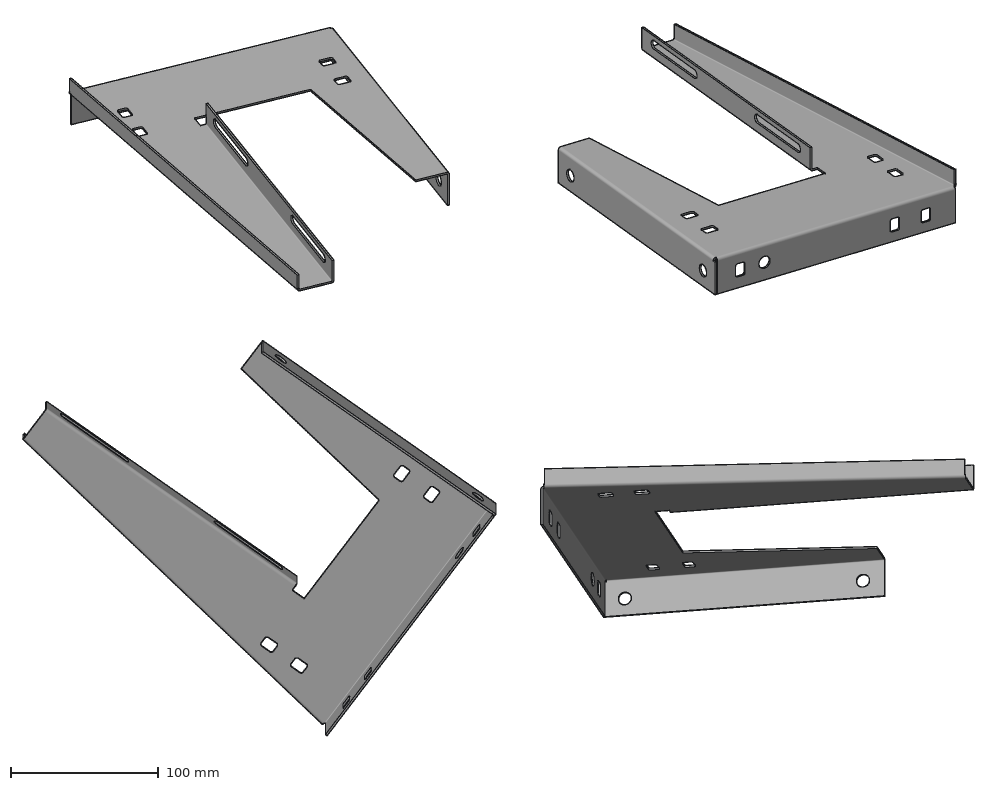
import cadquery as cq
import math

THICKNESS = 1.5
INNER_RADIUS = 0.7
BEND = INNER_RADIUS + THICKNESS
DEPTH = 196.0
LENGTH = 285.06
HEIGHT = 43.78

WEB_TOP = 27.2
WEB_BOTTOM = WEB_TOP - THICKNESS
FRONT_FLANGE_TOP = 39.0
FRONT_FLANGE_SETBACK = 0.5

SHORT_ARM_END = 195.0
SHORT_ARM_TIP = 25.0
SHORT_ARM_ROOT = 45.0
THROAT_X = 65.0
ARM_SLOPE = (SHORT_ARM_ROOT - SHORT_ARM_TIP) / (SHORT_ARM_END - THROAT_X)
ARM_ANGLE = math.atan(ARM_SLOPE)
WEB_LEFT = BEND
WEB_BACK = DEPTH - BEND
WEB_FRONT = BEND * math.cos(ARM_ANGLE)
LONG_ARM_END = LENGTH - BEND * math.sin(ARM_ANGLE)
LONG_ARM_TIP = WEB_FRONT + (LONG_ARM_END - WEB_LEFT) * ARM_SLOPE
THROAT_BACK = DEPTH - SHORT_ARM_ROOT
THROAT_FRONT = 65.0
INNER_FLANGE_START = 75.0
INNER_FLANGE_FACE = 70.7
INNER_BEND_LINE = INNER_FLANGE_FACE - BEND

HOLE_DIAMETER = 9.0
SLOT_WIDTH = 7.5
SLOT_LENGTH = 10.0
SLOT_CORNER = 1.5
WEB_SLOT_STARTS = (35.0, 60.0)
BACK_SLOT_Y = 175.2
FRONT_SLOT_Y = 24.75
BACK_HOLES_X = (15.0, 180.0)
BACK_HOLE_Z = 12.0
LEFT_SLOTS = ((175.5, 13.5), (51.0, 12.5), (26.0, 12.5))
LEFT_HOLE = (156.0, 13.5)
LONG_SLOT_CENTRES = (115.75, 244.5)
LONG_SLOT_LENGTH = 57.0
LONG_SLOT_WIDTH = 6.5
LONG_SLOT_Z = 37.0


def make_web():
    """Flat C-shaped plate, up to the bend lines."""
    outline = [
        (WEB_LEFT, WEB_FRONT),
        (LONG_ARM_END, LONG_ARM_TIP),
        (LONG_ARM_END, INNER_BEND_LINE),
        (INNER_FLANGE_START, INNER_BEND_LINE),
        (INNER_FLANGE_START, THROAT_FRONT),
        (THROAT_X, THROAT_FRONT),
        (THROAT_X, THROAT_BACK),
        (SHORT_ARM_END, DEPTH - SHORT_ARM_TIP),
        (SHORT_ARM_END, WEB_BACK),
        (WEB_LEFT, WEB_BACK),
    ]
    return cq.Workplane("XY", origin=(0, 0, WEB_BOTTOM)).polyline(outline).close().extrude(THICKNESS)


def make_flange(start, end, edge_z, start_setback=0.0, end_setback=0.0):
    """Bend and flange along a bend line; the web lies to the left of start -> end.

    The flange runs up or down from the web until it reaches the level edge_z.
    Its straight part stops short of each end of the bend by a setback, or overruns it if negative.
    """
    run_x = end[0] - start[0]
    run_y = end[1] - start[1]
    run = math.hypot(run_x, run_y)
    upward = edge_z > WEB_TOP
    inside, outside = (WEB_TOP, WEB_BOTTOM) if upward else (WEB_BOTTOM, WEB_TOP)
    turn = 1 if upward else -1
    centre_z = inside + turn * INNER_RADIUS
    diagonal = math.sqrt(0.5)

    plane = cq.Plane(
        origin=(start[0], start[1], 0),
        xDir=(run_y, -run_x, 0),
        normal=(-run_x, -run_y, 0),
    )
    bend = (
        cq.Workplane(plane)
        .moveTo(0, outside)
        .threePointArc((BEND * diagonal, centre_z - turn * BEND * diagonal), (BEND, centre_z))
        .lineTo(INNER_RADIUS, centre_z)
        .threePointArc(
            (INNER_RADIUS * diagonal, centre_z - turn * INNER_RADIUS * diagonal),
            (0, inside),
        )
        .close()
        .extrude(-run)
    )
    straight = (
        cq.Workplane(plane)
        .workplane(offset=-start_setback)
        .moveTo(INNER_RADIUS, centre_z)
        .lineTo(BEND, centre_z)
        .lineTo(BEND, edge_z)
        .lineTo(INNER_RADIUS, edge_z)
        .close()
        .extrude(start_setback + end_setback - run)
    )
    return bend.union(straight)


def make_body():
    """Web with its four flanges: left and back turned down, front and inner turned up."""
    web_corner = (WEB_LEFT, WEB_FRONT)
    back_corner = (WEB_LEFT, WEB_BACK)
    body = make_web()
    body = body.union(make_flange(back_corner, web_corner, 0))
    short_arm_corner = (SHORT_ARM_END, WEB_BACK)
    body = body.union(make_flange(short_arm_corner, back_corner, 0, end_setback=-BEND))
    front_end = (LONG_ARM_END, LONG_ARM_TIP)
    front_flange = make_flange(
        web_corner, front_end, FRONT_FLANGE_TOP, FRONT_FLANGE_SETBACK, FRONT_FLANGE_SETBACK
    )
    body = body.union(front_flange)
    inner_start = (LONG_ARM_END, INNER_BEND_LINE)
    inner_end = (INNER_FLANGE_START, INNER_BEND_LINE)
    return body.union(make_flange(inner_start, inner_end, HEIGHT))


def web_slot_cutters():
    """Slots in the web: across the short arm, along the long arm."""
    back = [(x + SLOT_WIDTH / 2, BACK_SLOT_Y) for x in WEB_SLOT_STARTS]
    front = [(x + SLOT_LENGTH / 2, FRONT_SLOT_Y) for x in WEB_SLOT_STARTS]
    base = cq.Workplane("XY", origin=(0, 0, WEB_BOTTOM))
    across = base.pushPoints(back).rect(SLOT_WIDTH, SLOT_LENGTH).extrude(THICKNESS)
    along = base.pushPoints(front).rect(SLOT_LENGTH, SLOT_WIDTH).extrude(THICKNESS)
    return across.union(along).edges("|Z").fillet(SLOT_CORNER)


def left_flange_cutters():
    """Upright slots and one round hole in the left flange."""
    base = cq.Workplane("YZ")
    slots = base.pushPoints(LEFT_SLOTS).rect(SLOT_WIDTH, SLOT_LENGTH).extrude(THICKNESS)
    slots = slots.edges("|X").fillet(SLOT_CORNER)
    return slots.union(base.pushPoints([LEFT_HOLE]).circle(HOLE_DIAMETER / 2).extrude(THICKNESS))


def back_flange_cutters():
    """Round holes in the back flange."""
    centres = [(x, BACK_HOLE_Z) for x in BACK_HOLES_X]
    base = cq.Workplane("XZ", origin=(0, DEPTH, 0))
    return base.pushPoints(centres).circle(HOLE_DIAMETER / 2).extrude(THICKNESS)


def inner_flange_cutters():
    """Long round-ended slots in the inner flange."""
    centres = [(x, LONG_SLOT_Z) for x in LONG_SLOT_CENTRES]
    base = cq.Workplane("XZ", origin=(0, INNER_FLANGE_FACE, 0))
    return base.pushPoints(centres).slot2D(LONG_SLOT_LENGTH, LONG_SLOT_WIDTH).extrude(THICKNESS)


result = make_body()
result = result.cut(web_slot_cutters())
result = result.cut(left_flange_cutters())
result = result.cut(back_flange_cutters())
result = result.cut(inner_flange_cutters())